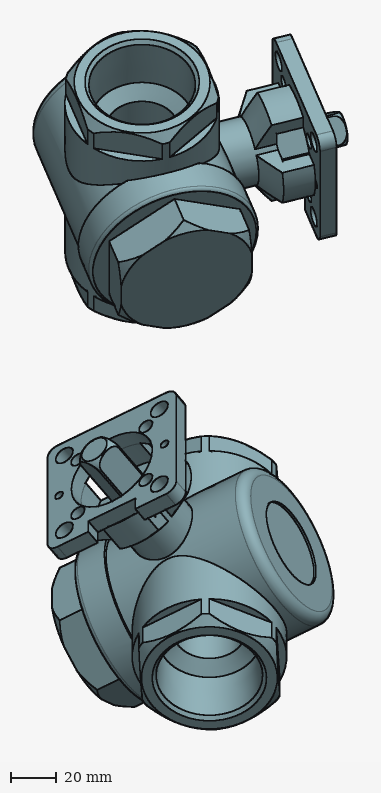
import cadquery as cq
import math


body_dia = 75.2
body_start_x = -42.6
body_edge_radius = 4.9
recess_dia = 40.0
recess_depth = 1.0
collar_dia = 78.0
collar_start_x = 29.5
collar_end_x = 45.6
collar_edge_radius = 2.0
nut_end_x = 62.6

hex_across_flats = 60.2
hex_across_corners = hex_across_flats / math.cos(math.pi / 6)
hex_chamfer = 4.1

port_dia = 67.5
port_to_port_height = 125.8
port_half_height = port_to_port_height / 2
port_hex_length = 13.9
bore_mouth_dia = 50
bore_chamfer = 1.7
thread_start_dia = bore_mouth_dia - 2 * bore_chamfer
thread_end_dia = 45.0
thread_length = 24.2
cone_length = 5.1
passage_dia = 32.0

neck_dia = 31.0
neck_shoulder_y = 48.6
yoke_floor_y = 58.6
yoke_cone_end_y = 56.3
yoke_outer_dia = 54.0
yoke_bore_dia = 42
yoke_leg_width = 20.0
stem_dia = 19.5
stem_across_flats = 14.5
stem_tip_dia = 13.1
stem_rounding_length = 5.0
stem_rounding_radius = 5.5
overall_length_y = 131.5
stem_end_y = overall_length_y - collar_dia / 2

plate_side = 67
plate_thickness = 7.6
plate_back_y = 70.9
plate_end_y = plate_back_y + plate_thickness
plate_corner_radius = 5.3
outer_hole_dia = 9.0
outer_hole_spacing = 49.4
inner_hole_dia = 7.0
inner_hole_spacing = 35.4
pin_hole_dia = 4.1
pin_hole_offset = 27.5
notch_width = 24.5
notch_depth = 7.0


def rod_x(dia, start, end):
    return cq.Workplane("YZ", origin=(start, 0, 0)).circle(dia / 2).extrude(end - start)


def rod_y(dia, start, end):
    return cq.Workplane("XZ", origin=(0, start, 0)).circle(dia / 2).extrude(start - end)


def box_between(x_size, z_size, y_start, y_end):
    """Block centred on the stem axis between two Y positions."""
    length = y_end - y_start
    middle = (y_start + y_end) / 2
    return cq.Workplane("XY").box(x_size, length, z_size).translate((0, middle, 0))


def make_barrel():
    barrel = rod_x(body_dia, body_start_x, collar_end_x).faces("<X").edges().fillet(body_edge_radius)
    recess = rod_x(recess_dia, body_start_x, body_start_x + recess_depth)
    collar = rod_x(collar_dia, collar_start_x, collar_end_x).faces(">X").edges().fillet(collar_edge_radius)
    return barrel.cut(recess).union(collar)


def make_end_nut():
    """Hexagon with corners on the Z axis and a 45 degree chamfer on the outer corners."""
    plane = cq.Workplane("YZ", origin=(collar_end_x, 0, 0))
    hexagon = plane.polygon(6, hex_across_corners).extrude(nut_end_x - collar_end_x)
    hexagon = hexagon.rotate((0, 0, 0), (1, 0, 0), 90)
    envelope = rod_x(hex_across_corners, collar_end_x, nut_end_x).faces(">X").edges().chamfer(hex_chamfer)
    return hexagon.intersect(envelope)


def make_upper_port():
    """Round tube whose end is cut to a hexagon with corners on the X axis."""
    tube = cq.Workplane("XY").circle(port_dia / 2).extrude(port_half_height)
    tube = tube.faces(">Z").edges().chamfer(hex_chamfer)
    hex_start = port_half_height - port_hex_length
    round_part = cq.Workplane("XY").circle(port_dia / 2).extrude(hex_start)
    hexagon = cq.Workplane("XY").polygon(6, hex_across_corners).extrude(port_half_height)
    return tube.intersect(round_part.union(hexagon))


def make_upper_bore():
    """Chamfered mouth, tapered thread, then a cone down to the passage."""
    thread_start_z = port_half_height - bore_chamfer
    thread_end_z = thread_start_z - thread_length
    cone_end_z = thread_end_z - cone_length
    return (
        cq.Workplane("XZ")
        .moveTo(0, 0)
        .lineTo(passage_dia / 2, 0)
        .lineTo(passage_dia / 2, cone_end_z)
        .lineTo(thread_end_dia / 2, thread_end_z)
        .lineTo(thread_start_dia / 2, thread_start_z)
        .lineTo(bore_mouth_dia / 2, port_half_height)
        .lineTo(0, port_half_height)
        .close()
        .revolve(360, (0, 0, 0), (0, 1, 0))
    )


def make_yoke():
    """Four legs: a hollow cup with a conical foot, cut to a cross of two slabs."""
    cup = (
        cq.Workplane("XY")
        .moveTo(0, neck_shoulder_y)
        .lineTo(neck_dia / 2, neck_shoulder_y)
        .lineTo(yoke_outer_dia / 2, yoke_cone_end_y)
        .lineTo(yoke_outer_dia / 2, plate_back_y)
        .lineTo(yoke_bore_dia / 2, plate_back_y)
        .lineTo(yoke_bore_dia / 2, yoke_floor_y)
        .lineTo(0, yoke_floor_y)
        .close()
        .revolve(360, (0, 0, 0), (0, 1, 0))
    )
    slab_along_x = box_between(yoke_outer_dia, yoke_leg_width, neck_shoulder_y, plate_back_y)
    slab_along_z = box_between(yoke_leg_width, yoke_outer_dia, neck_shoulder_y, plate_back_y)
    return cup.intersect(slab_along_x.union(slab_along_z))


def make_stem():
    """Square shaft standing on its corner, turned to a round envelope with a rounded tip."""
    envelope = (
        cq.Workplane("XY")
        .moveTo(0, yoke_floor_y)
        .lineTo(stem_dia / 2, yoke_floor_y)
        .lineTo(stem_dia / 2, stem_end_y - stem_rounding_length)
        .radiusArc((stem_tip_dia / 2, stem_end_y), -stem_rounding_radius)
        .lineTo(0, stem_end_y)
        .close()
        .revolve(360, (0, 0, 0), (0, 1, 0))
    )
    square = box_between(stem_across_flats, stem_across_flats, yoke_floor_y, stem_end_y)
    return envelope.intersect(square.rotate((0, 0, 0), (0, 1, 0), 45))


def make_plate():
    """Square plate with the yoke bore, two square hole patterns, two pin holes and a lower notch."""
    plate = box_between(plate_side, plate_side, plate_back_y, plate_end_y)
    plate = plate.edges("|Y").fillet(plate_corner_radius)
    plate = plate.cut(rod_y(yoke_bore_dia, plate_back_y, plate_end_y))
    outer_hole = rod_y(outer_hole_dia, plate_back_y, plate_end_y)
    inner_hole = rod_y(inner_hole_dia, plate_back_y, plate_end_y)
    pin_hole = rod_y(pin_hole_dia, plate_back_y, plate_end_y)
    for side_x in (-1, 1):
        plate = plate.cut(pin_hole.translate((side_x * pin_hole_offset, 0, 0)))
        for side_z in (-1, 1):
            outer_offset = outer_hole_spacing / 2
            inner_offset = inner_hole_spacing / 2
            plate = plate.cut(outer_hole.translate((side_x * outer_offset, 0, side_z * outer_offset)))
            plate = plate.cut(inner_hole.translate((side_x * inner_offset, 0, side_z * inner_offset)))
    notch_middle_z = -(plate_side - notch_depth) / 2
    notch = box_between(notch_width, notch_depth, plate_back_y, plate_end_y)
    return plate.cut(notch.translate((0, 0, notch_middle_z)))


upper_port = make_upper_port()
upper_bore = make_upper_bore()
neck = rod_y(neck_dia, 0, yoke_floor_y)

result = make_barrel().union(make_end_nut()).union(neck)
result = result.union(upper_port).union(upper_port.mirror("XY"))
result = result.cut(upper_bore).cut(upper_bore.mirror("XY"))
result = result.union(make_yoke()).union(make_plate()).union(make_stem())